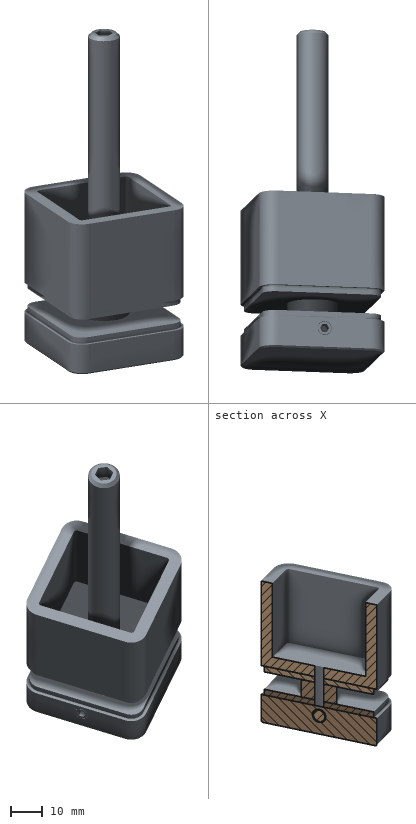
import cadquery as cq
import math


side = 40.0
corner_radius = 5.0

base_height = 10.0
gasket_height = 2.0
gap_height = 6.0
cup_height = 30.0
total_height = 105.0

lower_gasket_z = base_height
spacer_z = lower_gasket_z + gasket_height
upper_gasket_z = spacer_z + gap_height
cup_z = upper_gasket_z + gasket_height

wall = 4.0
floor_thickness = wall
cavity_side = side - 2 * wall
cavity_radius = 0.9

base_chamfer = 0.5

gasket_inset = 1.0
gasket_side = side - 2 * gasket_inset
gasket_radius = corner_radius - gasket_inset

spacer_diameter = 16.0

rod_diameter = 10.0
rod_bottom_z = 3.0
rod_chamfer = 1.0
rod_socket_width = 5.0
rod_socket_depth = 5.0
rod_clearance_diameter = 10.5

screw_diameter = 4.2
screw_hole_diameter = 4.4
screw_z = 6.5
screw_length = (side - rod_diameter) / 2
screw_socket_width = 2.5
screw_socket_depth = 2.5


def rounded_block(width, height, radius, z):
    """Square block with rounded vertical edges, standing on height z."""
    block = cq.Workplane("XY", origin=(0, 0, z)).rect(width, width).extrude(height)
    return block.edges("|Z").fillet(radius)


def cylinder(diameter, height, z):
    """Upright cylinder on the centre axis, standing on height z."""
    return cq.Workplane("XY", origin=(0, 0, z)).circle(diameter / 2).extrude(height)


def screw_cylinder(diameter, length):
    """Cylinder on the set screw's axis, running inwards from the -X face of the base."""
    face = cq.Workplane("YZ", origin=(-side / 2, 0, screw_z))
    return face.circle(diameter / 2).extrude(length)


def hexagon(plane, width):
    """Hexagon of the given width across its flats, with corners on the plane's local X axis."""
    return plane.polygon(6, width / math.cos(math.pi / 6))


def make_cup():
    outside = rounded_block(side, cup_height, corner_radius, cup_z)
    cavity_z = cup_z + floor_thickness
    cavity = rounded_block(cavity_side, cup_height - floor_thickness, cavity_radius, cavity_z)
    rod_hole = cylinder(rod_clearance_diameter, floor_thickness, cup_z)
    return outside.cut(cavity).cut(rod_hole)


def make_base():
    block = rounded_block(side, base_height, corner_radius, 0)
    block = block.faces("<Z").edges().chamfer(base_chamfer)
    rod_hole = cylinder(rod_diameter, base_height - rod_bottom_z, rod_bottom_z)
    screw_hole = screw_cylinder(screw_hole_diameter, side / 2)
    return block.cut(rod_hole).cut(screw_hole)


def make_gasket(z):
    pad = rounded_block(gasket_side, gasket_height, gasket_radius, z)
    return pad.cut(cylinder(rod_clearance_diameter, gasket_height, z))


def make_spacer():
    body = cylinder(spacer_diameter, gap_height, spacer_z)
    return body.cut(cylinder(rod_clearance_diameter, gap_height, spacer_z))


def make_rod():
    rod = cylinder(rod_diameter, total_height - rod_bottom_z, rod_bottom_z)
    rod = rod.faces(">Z").edges().chamfer(rod_chamfer)
    top = cq.Workplane("XY", origin=(0, 0, total_height))
    return rod.cut(hexagon(top, rod_socket_width).extrude(-rod_socket_depth))


def make_set_screw():
    face = cq.Workplane("YZ", origin=(-side / 2, 0, screw_z))
    socket = hexagon(face, screw_socket_width).extrude(screw_socket_depth)
    return screw_cylinder(screw_diameter, screw_length).cut(socket)


cup = make_cup()
base = make_base()
gaskets = [make_gasket(z) for z in (lower_gasket_z, upper_gasket_z)]
spacer = make_spacer()
rod = make_rod()
set_screw = make_set_screw()

result = cq.Compound.makeCompound(
    [
        cup.val(),
        base.val(),
        *[gasket.val() for gasket in gaskets],
        spacer.val(),
        rod.val(),
        set_screw.val(),
    ]
)